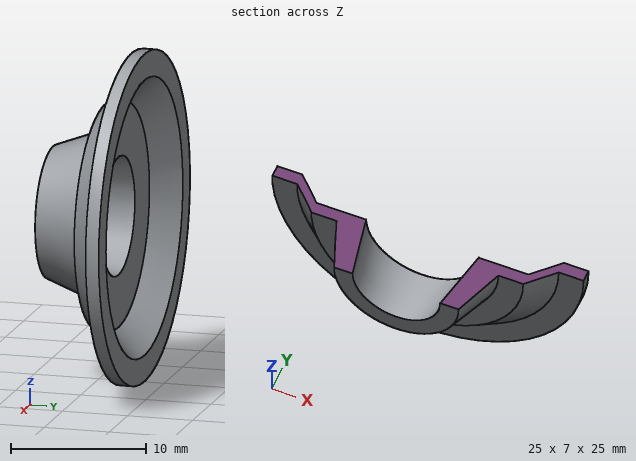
import cadquery as cq

flange_diameter = 25.0
sheet_thickness = 1.0

shoulder_base_diameter = 21.0
shoulder_front_diameter = 17.0
shoulder_height = 2.0

boss_base_diameter = 13.0
boss_tip_diameter = 10.0
boss_height = 4.0

bore_tip_diameter = 7.0
bore_back_diameter = 9.0

back_y = 0.0
flange_front_y = back_y - sheet_thickness
shoulder_front_y = flange_front_y - shoulder_height
boss_tip_y = shoulder_front_y - boss_height
recess_floor_y = shoulder_front_y + sheet_thickness


def revolve_section(section):
    """Turn a closed section of (diameter, Y) corners about the Y axis."""
    corners = [(diameter / 2, y) for diameter, y in section]
    return cq.Workplane("XY").polyline(corners).close().revolve(360, (0, 0, 0), (0, 1, 0))


def make_body():
    """Flange, conical shoulder and tapered boss as one solid body."""
    return revolve_section([
        (0, back_y),
        (flange_diameter, back_y),
        (flange_diameter, flange_front_y),
        (shoulder_base_diameter, flange_front_y),
        (shoulder_front_diameter, shoulder_front_y),
        (boss_base_diameter, shoulder_front_y),
        (boss_tip_diameter, boss_tip_y),
        (0, boss_tip_y),
    ])


def make_hollow():
    """Tapered bore, opening into a conical recess parallel to the shoulder."""
    return revolve_section([
        (0, back_y),
        (shoulder_base_diameter, back_y),
        (shoulder_front_diameter, recess_floor_y),
        (bore_back_diameter, recess_floor_y),
        (bore_tip_diameter, boss_tip_y),
        (0, boss_tip_y),
    ])


result = make_body().cut(make_hollow())